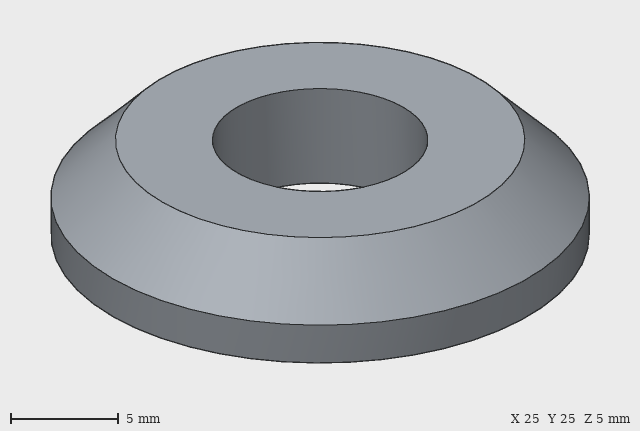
import cadquery as cq

outer_diameter = 25.0
bore_diameter = 10.0
thickness = 5.0
bevel = 3.0

disc = cq.Workplane("XY").circle(outer_diameter / 2).extrude(thickness)

bevelled_disc = disc.faces(">Z").edges().chamfer(bevel)

result = bevelled_disc.faces(">Z").workplane().hole(bore_diameter)